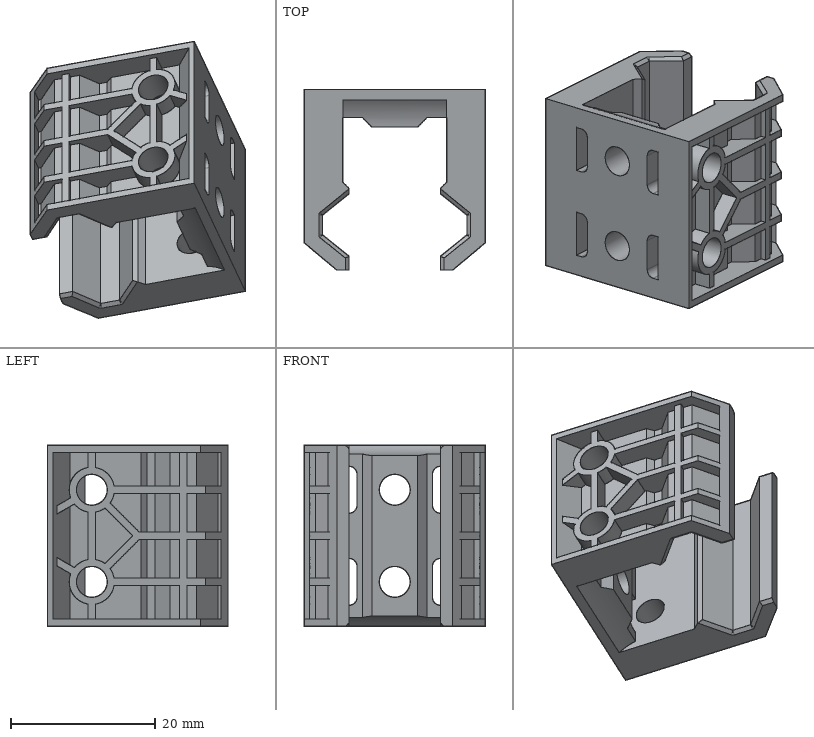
import cadquery as cq
import math


width = 25.1
depth = 25.02
height = 25.1
half_width = width / 2
half_height = height / 2

cavity_half_width = 7.18
back_wall = 3.92
ridge_depth = 1.3
ridge_tip_half_width = 3.16
ridge_base_half_width = ridge_tip_half_width + ridge_depth
ridge_front_y = -back_wall - ridge_depth

scoop_start_y = -1.43
scoop_wall_drop = 1.23
scoop_ridge_drop = 1.43

neck_half_width = 6.33
neck_ramp_start_y = -12.85
channel_half_width = 10.0
channel_back_y = -17.42
channel_front_y = -20.13
channel_slope = math.tan(math.radians(39))
channel_rise = (channel_half_width - neck_half_width) * channel_slope
neck_back_y = channel_back_y + channel_rise
neck_front_y = channel_front_y - channel_rise
neck_ramp_end_y = neck_ramp_start_y - (cavity_half_width - neck_half_width)
bevel_width = 0.53
bevel_depth = 0.43

jaw_tip_half_width = 8.03
jaw_slant_y = -depth + (half_width - jaw_tip_half_width) * math.tan(math.radians(40))

wall = 1.0
thick_wall = 2.1
pocket_back_rim = 0.75
pocket_slant_end_y = -3.1
pocket_ramp_start_y = -12.95
floor_x = cavity_half_width + thick_wall
neck_floor_x = neck_half_width + thick_wall
channel_floor_x = channel_half_width + wall
channel_floor_back_y = -17.0
channel_floor_front_y = -20.65
tip_floor_x = neck_half_width + wall
rib_width = 1.0
rib_recess = 0.78
back_rib_y = -6.15
front_rib_y = -18.82
anchor_rib_angle = 30.0

hole_level = 6.38
hole_diameter = 4.25
boss_diameter = 6.25
slot_inner_x = 5.25
slot_height = 6.45
slot_corner_radius = 1.05


def both_sides(right_half):
    """Closed outline points from a right half listed from back to front."""
    left_half = [(-x, y) for x, y in reversed(right_half)]
    return right_half + left_half


def prism(points):
    """Full-height prism over an outline in the XY plane."""
    return cq.Workplane("XY").polyline(points).close().extrude(half_height, both=True)


def make_body():
    outer = prism(both_sides([
        (half_width, 0),
        (half_width, jaw_slant_y),
        (jaw_tip_half_width, -depth),
    ]))
    cavity = prism(both_sides([
        (ridge_tip_half_width, ridge_front_y),
        (ridge_base_half_width, -back_wall),
        (cavity_half_width, -back_wall),
        (cavity_half_width, neck_ramp_start_y),
        (neck_half_width, neck_ramp_end_y),
        (neck_half_width, -depth),
    ]))
    return outer.cut(cavity)


def channel_outline(workplane):
    """Channel section; its back slopes run on to a point inside the cavity."""
    apex_y = neck_back_y + neck_half_width * channel_slope
    past_front_y = -depth - wall
    right_half = [
        (channel_half_width, channel_back_y),
        (channel_half_width, channel_front_y),
        (neck_half_width, neck_front_y),
        (neck_half_width, past_front_y),
    ]
    return workplane.polyline([(0, apex_y)] + both_sides(right_half)).close()


def make_channel():
    channel = channel_outline(cq.Workplane("XY")).extrude(half_height, both=True)
    bevel_angle = math.degrees(math.atan2(bevel_width, bevel_depth))
    mouth = (
        channel_outline(cq.Workplane("XY").workplane(offset=half_height - bevel_depth))
        .extrude(bevel_depth, taper=-bevel_angle)
    )
    return channel.union(mouth).union(mouth.mirror("XY"))


def make_scoop():
    """Arc-shaped cutter for the upper end of the back wall."""
    return (
        cq.Workplane("YZ")
        .moveTo(scoop_start_y, half_height)
        .threePointArc(
            (-back_wall, half_height - scoop_wall_drop),
            (ridge_front_y, half_height - scoop_ridge_drop),
        )
        .lineTo(ridge_front_y, half_height)
        .close()
        .extrude(cavity_half_width, both=True)
    )


def rib(start, end):
    """Rib along a line between two (y, z) points, reaching up to the rib tops."""
    length = math.dist(start, end)
    angle = math.degrees(math.atan2(end[1] - start[1], end[0] - start[0]))
    flat_rib = (
        cq.Workplane("XY")
        .box(length, rib_width, half_width - rib_recess, centered=(False, True, False))
        .rotate((0, 0, 0), (0, 0, 1), angle)
        .translate((start[0], start[1], 0))
    )
    return flat_rib.rotate((0, 0, 0), (1, 1, 1), 120)


def make_ribs():
    """Bosses and ribs of the right-hand pocket."""
    ribs = rib((front_rib_y, -half_height), (front_rib_y, half_height))
    ribs = ribs.union(rib((back_rib_y, -half_height), (back_rib_y, half_height)))
    junction = (back_rib_y - hole_level, 0)
    ribs = ribs.union(rib(junction, (-depth, 0)))
    anchor_drop = -back_rib_y * math.tan(math.radians(anchor_rib_angle))
    for side in (1, -1):
        center = (back_rib_y, side * hole_level)
        boss = (
            cq.Workplane("YZ")
            .center(*center)
            .circle(boss_diameter / 2)
            .extrude(half_width - rib_recess)
        )
        ribs = ribs.union(boss)
        ribs = ribs.union(rib(center, (-depth, side * hole_level)))
        ribs = ribs.union(rib(center, junction))
        ribs = ribs.union(rib(center, (0, side * (hole_level - anchor_drop))))
    return ribs


def make_pocket():
    """Space to remove from the right-hand side, with the ribs left standing."""
    front_y = -depth + wall
    neck_floor_start_y = pocket_ramp_start_y - (floor_x - neck_floor_x)
    neck_floor_end_y = channel_floor_back_y + (channel_floor_x - neck_floor_x) * channel_slope
    tip_floor_y = channel_floor_front_y - (channel_floor_x - tip_floor_x) * channel_slope
    pocket = (
        cq.Workplane("XY")
        .polyline([
            (half_width, -pocket_back_rim),
            (floor_x, pocket_slant_end_y),
            (floor_x, pocket_ramp_start_y),
            (neck_floor_x, neck_floor_start_y),
            (neck_floor_x, neck_floor_end_y),
            (channel_floor_x, channel_floor_back_y),
            (channel_floor_x, channel_floor_front_y),
            (tip_floor_x, tip_floor_y),
            (tip_floor_x, front_y),
            (half_width, front_y),
        ])
        .close()
        .extrude(half_height - wall, both=True)
    )
    return pocket.cut(make_ribs())


def make_slot():
    """Upright slot flush with the right cavity wall, rounded toward the ridge."""
    slot_width = cavity_half_width - slot_inner_x
    return (
        cq.Workplane("XY")
        .box(slot_width, back_wall, slot_height, centered=(False, False, True))
        .edges("|Y and <X")
        .fillet(slot_corner_radius)
        .translate((slot_inner_x, -back_wall, 0))
    )


def make_back_openings():
    """Round holes through the back wall and ridge, with a slot on each side."""
    slot = make_slot()
    slot_pair = slot.union(slot.mirror("YZ"))
    openings = (
        cq.Workplane("XZ")
        .pushPoints([(0, hole_level), (0, -hole_level)])
        .circle(hole_diameter / 2)
        .extrude(-ridge_front_y)
    )
    for level in (hole_level, -hole_level):
        openings = openings.union(slot_pair.translate((0, 0, level)))
    return openings


def make_side_bore():
    """Bores through the bosses and the right-hand side wall, up to the cavity."""
    return (
        cq.Workplane("YZ")
        .workplane(offset=cavity_half_width)
        .pushPoints([(back_rib_y, hole_level), (back_rib_y, -hole_level)])
        .circle(hole_diameter / 2)
        .extrude(half_width - cavity_half_width)
    )


result = make_body().cut(make_channel())
scoop = make_scoop()
result = result.cut(scoop).cut(scoop.mirror("XY"))
result = result.cut(make_back_openings())
for side_cutter in (make_pocket(), make_side_bore()):
    result = result.cut(side_cutter).cut(side_cutter.mirror("YZ"))